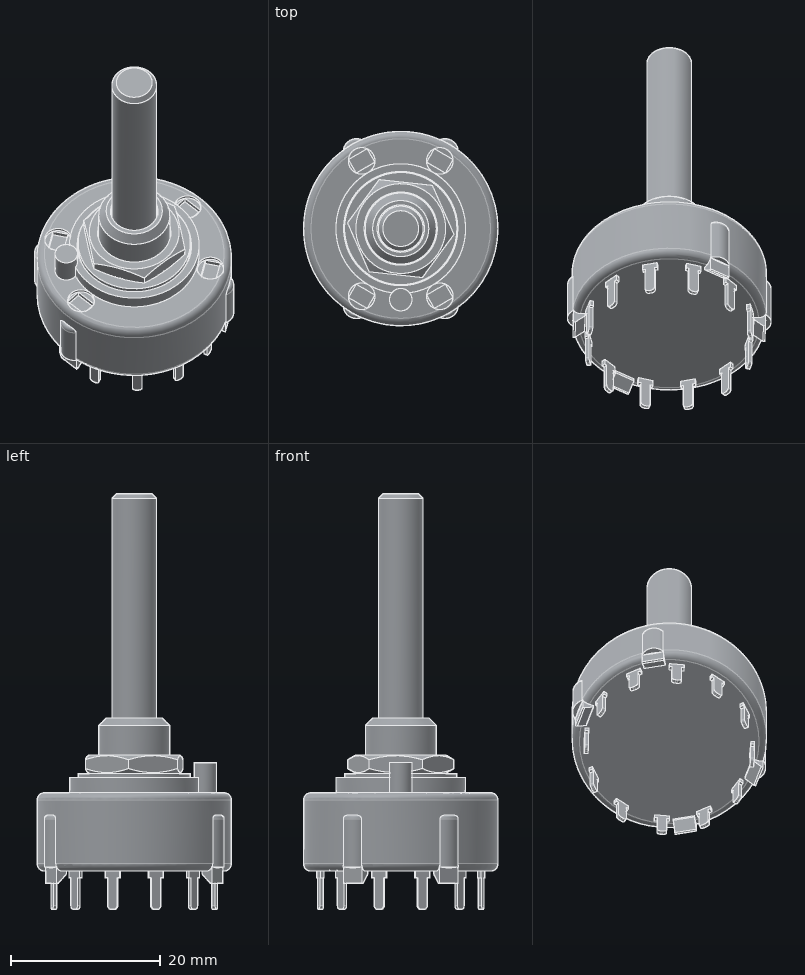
import cadquery as cq
import math

total_height = 55.6
pin_drop = 5.1
housing_height = 10.5
flange_height = 2.05
washer_rise = 0.5
nut_height = 2.5

housing_bottom = pin_drop
housing_top = housing_bottom + housing_height
flange_top = housing_top + flange_height
washer_top = flange_top + washer_rise
nut_top = washer_top + nut_height
bushing_top = 25.65

housing_diameter = 26.0
housing_edge_radius = 1.0
flange_diameter = 17.35
recess_diameter = 15.3
recess_depth = 0.5
washer_diameter = 15.0
fitting_bore = 9.8
bushing_diameter = 9.5
bushing_chamfer = 1.0
bushing_bore = 6.35
bushing_bore_depth = 1.0
shaft_diameter = 6.0
shaft_chamfer = 0.6

nut_across_flats = 12.4
nut_turn = -6.2
nut_face_diameter = 12.0
nut_chamfer_angle = 30.0

peg_diameter = 3.0
peg_height = 4.0
peg_offset = 9.5

clip_angles = [60, 120, 240, 300]
rib_diameter = 3.55
rib_axis_radius = 11.85
rib_bottom = 5.65
rib_top = 12.6
rib_edge_radius = 0.5
pocket_axis_radius = 10.45
pocket_depth = 0.5
window_width = 2.9
window_length = math.sqrt(rib_diameter**2 - window_width**2)
window_depth = 1.3
foot_outer_radius = 12.85
foot_inner_radius = 11.3
foot_toe = 0.3
foot_bottom = 3.5
foot_slope_height = 1.2

pin_count = 12
pin_circle_radius = 11.1
pin_width = 1.3
pin_thickness = 0.5
pin_tip_radius = 0.5
shoulder_width = 2.0
shoulder_height = 0.9


def disc(diameter, bottom, top):
    """Upright cylinder on the main axis."""
    return cq.Workplane("XY").workplane(offset=bottom).circle(diameter / 2).extrude(top - bottom)


def turn(shape, angle):
    """Rotate a shape about the main axis."""
    return shape.rotate((0, 0, 0), (0, 0, 1), angle)


def make_housing():
    body = disc(housing_diameter, housing_bottom, housing_top).edges().fillet(housing_edge_radius)
    flange = disc(flange_diameter, housing_top, flange_top)
    recess = disc(recess_diameter, flange_top - recess_depth, flange_top)
    return body.union(flange).cut(recess)


def make_washer():
    bottom = flange_top - recess_depth
    return disc(washer_diameter, bottom, washer_top).cut(disc(fitting_bore, bottom, washer_top))


def make_nut():
    corner_radius = nut_across_flats / math.sqrt(3)
    face_radius = nut_face_diameter / 2
    slope_height = (corner_radius - face_radius) * math.tan(math.radians(nut_chamfer_angle))
    hexagon = (
        cq.Workplane("XY").workplane(offset=washer_top)
        .polygon(6, 2 * corner_radius).extrude(nut_height)
    )
    corner_limit = (
        cq.Workplane("XZ")
        .moveTo(0, washer_top)
        .lineTo(face_radius, washer_top)
        .lineTo(corner_radius, washer_top + slope_height)
        .lineTo(corner_radius, nut_top - slope_height)
        .lineTo(face_radius, nut_top)
        .lineTo(0, nut_top)
        .close()
        .revolve(360, (0, 0, 0), (0, 1, 0))
    )
    nut = hexagon.intersect(corner_limit).cut(disc(fitting_bore, washer_top, nut_top))
    return turn(nut, nut_turn)


def make_bushing():
    bushing = disc(bushing_diameter, housing_top, bushing_top).faces(">Z").chamfer(bushing_chamfer)
    return bushing.cut(disc(bushing_bore, bushing_top - bushing_bore_depth, bushing_top))


def make_shaft():
    return disc(shaft_diameter, housing_top, total_height).faces(">Z").chamfer(shaft_chamfer)


def make_peg():
    return (
        cq.Workplane("XY").workplane(offset=housing_top)
        .center(0, -peg_offset).circle(peg_diameter / 2).extrude(peg_height)
    )


def make_rib():
    return (
        cq.Workplane("XY").workplane(offset=rib_bottom)
        .center(rib_axis_radius, 0).circle(rib_diameter / 2).extrude(rib_top - rib_bottom)
        .faces(">Z").edges().fillet(rib_edge_radius)
    )


def make_clip_foot():
    """Wedge below the rib, sloping up towards the main axis."""
    return (
        cq.Workplane("XZ")
        .moveTo(foot_outer_radius, foot_bottom)
        .lineTo(foot_outer_radius, rib_bottom + rib_edge_radius)
        .lineTo(foot_inner_radius, rib_bottom + rib_edge_radius)
        .lineTo(foot_inner_radius, foot_bottom + foot_slope_height)
        .lineTo(foot_outer_radius - foot_toe, foot_bottom)
        .close()
        .extrude(window_width / 2, both=True)
    )


def make_clip_pocket():
    """Shallow round pocket with a deeper rectangular window inside it."""
    top = cq.Workplane("XY").workplane(offset=housing_top).center(pocket_axis_radius, 0)
    pocket = top.circle(rib_diameter / 2).extrude(-pocket_depth)
    window = top.rect(window_length, window_width).extrude(-window_depth)
    return pocket.union(window)


def make_pin():
    """Flat terminal with a wide shoulder and a rounded tip."""
    blade = (
        cq.Workplane("XY")
        .box(pin_thickness, pin_width, pin_drop, centered=(True, True, False))
        .edges("|X and <Z").fillet(pin_tip_radius)
    )
    shoulder = (
        cq.Workplane("XY").workplane(offset=pin_drop - shoulder_height)
        .rect(pin_thickness, shoulder_width).extrude(shoulder_height)
    )
    return blade.union(shoulder).translate((pin_circle_radius, 0, 0))


result = make_housing()
for fitting in (make_washer(), make_nut(), make_bushing(), make_shaft(), make_peg()):
    result = result.union(fitting)

for angle in clip_angles:
    result = result.union(turn(make_rib(), angle))
    result = result.union(turn(make_clip_foot(), angle))
    result = result.cut(turn(make_clip_pocket(), angle))

pin_pitch = 360 / pin_count
for index in range(pin_count):
    result = result.union(turn(make_pin(), (index + 0.5) * pin_pitch))